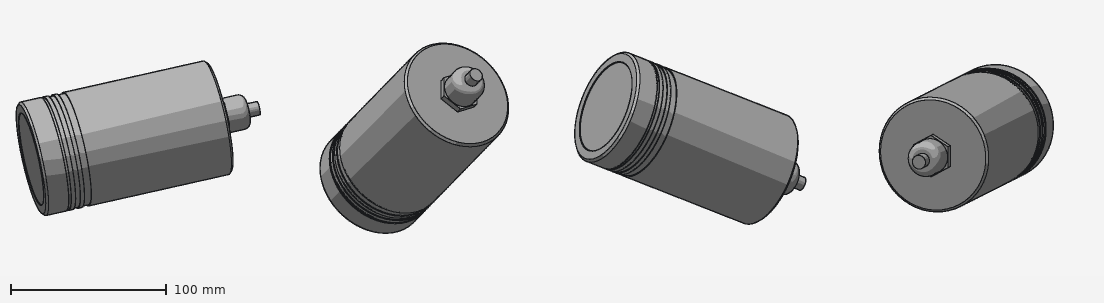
import cadquery as cq
import math

housing_diameter = 75.0
housing_length = 125.0
housing_chamfer = 1.5

groove_spans = [(15.0, 16.7), (19.6, 22.8), (25.5, 30.0)]
groove_depth = 0.8

recess_diameter = 61.0
recess_depth = 0.5
recess_wall_run = 0.5

nut_across_flats = 23.5
nut_length = 4.3
cap_diameter = 22.8
cap_length = 15.2
cap_rounding = 4.5
cable_diameter = 9.0
overall_length = 151.8


def cylinder_along_y(diameter, start, end):
    """Solid cylinder on the Y axis between two Y positions."""
    plane = cq.Workplane("XZ", origin=(0, start, 0))
    return plane.circle(diameter / 2).extrude(start - end)


def groove_ring(front, rear):
    """Ring of material to remove for one groove."""
    floor_diameter = housing_diameter - 2 * groove_depth
    outer = cylinder_along_y(housing_diameter + 2 * groove_depth, front, rear)
    return outer.cut(cylinder_along_y(floor_diameter, front, rear))


def front_recess():
    """Shallow cone frustum, widest at the front face."""
    mouth_radius = recess_diameter / 2
    floor_radius = mouth_radius - recess_wall_run
    profile = (
        cq.Workplane("XY")
        .moveTo(0, 0)
        .lineTo(mouth_radius, 0)
        .lineTo(floor_radius, recess_depth)
        .lineTo(0, recess_depth)
        .close()
    )
    return profile.revolve(360, (0, 0, 0), (0, 1, 0))


def cable_gland():
    """Hexagonal nut, rounded cap and cable stub behind the housing."""
    nut_end = housing_length + nut_length
    cap_end = nut_end + cap_length
    across_corners = nut_across_flats / math.cos(math.radians(30))
    nut = (
        cq.Workplane("XZ", origin=(0, housing_length, 0))
        .transformed(rotate=(0, 0, 90))
        .polygon(6, across_corners)
        .extrude(-nut_length)
    )
    cap = cylinder_along_y(cap_diameter, nut_end, cap_end).faces(">Y").edges().fillet(cap_rounding)
    cable = cylinder_along_y(cable_diameter, cap_end, overall_length)
    return nut.union(cap).union(cable)


housing = cylinder_along_y(housing_diameter, 0, housing_length)
housing = housing.faces("<Y or >Y").edges().chamfer(housing_chamfer)
for front, rear in groove_spans:
    housing = housing.cut(groove_ring(front, rear))
housing = housing.cut(front_recess())

result = housing.union(cable_gland())